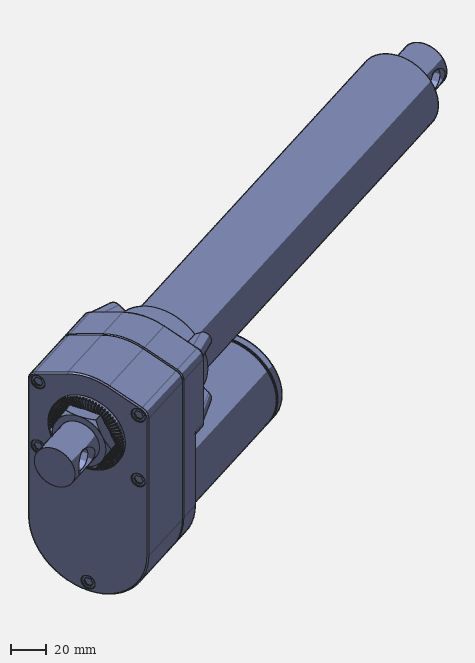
import cadquery as cq
import math


half_width = 38.5
crown_radius = 38.5
crown_half_chord = 13.5
corner_radius = 6.5
motor_axis_z = -74.5
lower_depth = 55.0
upper_depth = 65.5
joint_y = 41.0
joint_chamfer = 0.65
front_chamfer = 1.0
flange_chamfer = 1.5

screw_x = 32.0
screw_z = 22.8
bottom_screw_z = -106.5
screw_recess_diameter = 9.0
screw_recess_depth = 1.5
screw_head_diameter = 8.5
screw_head_height = 1.0
screw_socket_across_corners = 6.0

tube_diameter = 50.5
tube_end_y = 361.0
collar_diameter = 61.5
collar_end_y = 83.8
rib_width = 8.5
rib_reach_base = 40.5
rib_reach_end = 35.2

motor_diameter = 63.0
motor_end_y = 168.5
motor_seam_y = 162.5
motor_seam_width = 1.5
motor_seam_depth = 0.5
end_disc_diameter = 58.5
end_disc_height = 3.0
end_disc_chamfer = 1.0
end_disc_width = 47.2
end_slot_z = -92.5
end_slot_width = 5.0
terminal_boss_diameter = 13.7
terminal_boss_height = 5.5
terminal_boss_z = -57.5

ring_diameter = 48.0
ring_height = 3.0
tooth_count = 72
tooth_groove_depth = 1.5
nut_across_flats = 34.5
nut_height = 7.5
nut_chamfer_angle = 30
front_eye_diameter = 26.0
front_eye_end_y = -38.5
front_hole_y = -25.0

eye_hole_diameter = 13.0
front_mouth_diameter = 19.0
rod_mouth_diameter = 17.0

rod_diameter = 25.0
rod_end_diameter = 28.8
rod_end_y = 391.0
rod_taper_diameter = 28.0
rod_taper_start_y = 364.0
rod_taper_end_y = 366.5
rod_hole_y = 380.0


def cylinder_y(diameter, y_start, y_end, x=0, z=0):
    """A cylinder parallel to Y between two Y positions."""
    return (
        cq.Workplane("XZ", origin=(x, y_start, z))
        .circle(diameter / 2)
        .extrude(y_start - y_end)
    )


def crown_corners():
    """Points of the upper right outline: where the crown meets the slope, and the sharp corner."""
    crown_z = math.sqrt(crown_radius**2 - crown_half_chord**2)
    corner_z = crown_z - (half_width - crown_half_chord) * crown_half_chord / crown_z
    return crown_z, corner_z


def crown_outline():
    """Open outline from the right side over the crowned top to the left side."""
    crown_z, corner_z = crown_corners()
    return (
        cq.Workplane("XZ")
        .moveTo(half_width, 0)
        .lineTo(half_width, corner_z)
        .lineTo(crown_half_chord, crown_z)
        .threePointArc((0, crown_radius), (-crown_half_chord, crown_z))
        .lineTo(-half_width, corner_z)
        .lineTo(-half_width, 0)
    )


def crowned_prism(outline, y_start, y_end):
    """Extrude a closed crowned outline along Y and round the two corners beside the crown."""
    corner_z = crown_corners()[1]
    prism = outline.extrude(y_start - y_end).translate((0, y_start, 0))
    for x in (half_width, -half_width):
        corner = cq.Vector(x, (y_start + y_end) / 2, corner_z)
        prism = prism.edges(cq.selectors.NearestToPointSelector(corner)).fillet(corner_radius)
    return prism


def gearbox_part(y_start, y_end):
    """Length of the gearbox with a crowned top and a semicircular bottom."""
    outline = (
        crown_outline()
        .lineTo(-half_width, motor_axis_z)
        .threePointArc((0, motor_axis_z - half_width), (half_width, motor_axis_z))
        .close()
    )
    return crowned_prism(outline, y_start, y_end)


def gearbox():
    """Cover and rear half, chamfered where they meet so that a fine groove marks the joint."""
    cover = gearbox_part(0, joint_y).faces("<Y").chamfer(front_chamfer)
    cover = cover.faces(">Y").chamfer(joint_chamfer)
    rear = gearbox_part(joint_y, lower_depth).faces("<Y").chamfer(joint_chamfer)
    return cover.union(rear)


def tube_flange():
    """Raised pad behind the gearbox, with the crowned shape both above and below the tube."""
    upper = crowned_prism(crown_outline().close(), lower_depth, upper_depth)
    flange = upper.union(upper.mirror("XY")).clean()
    return flange.faces(">Y").chamfer(flange_chamfer)


def cover_screws(block):
    """Recessed socket-head screws in the front face."""
    places = [(x, z) for x in (-screw_x, screw_x) for z in (-screw_z, screw_z)]
    places.append((0, bottom_screw_z))
    head_y = screw_recess_depth - screw_head_height
    for x, z in places:
        block = block.cut(cylinder_y(screw_recess_diameter, 0, screw_recess_depth, x, z))
        head = cylinder_y(screw_head_diameter, head_y, screw_recess_depth, x, z)
        socket = (
            cq.Workplane("XZ", origin=(x, head_y, z))
            .polygon(6, screw_socket_across_corners)
            .extrude(-screw_head_height)
        )
        block = block.union(head.cut(socket))
    return block


def collar_rib(angle):
    """Radial rib with a round outer end, leaning inward away from the gearbox."""
    length = collar_end_y - upper_depth

    def section(plane, reach):
        half = rib_width / 2
        return (
            plane.moveTo(0, -half)
            .lineTo(reach, -half)
            .threePointArc((reach + half, 0), (reach, half))
            .lineTo(0, half)
            .close()
        )

    base = section(cq.Workplane("XZ", origin=(0, upper_depth, 0)), rib_reach_base)
    rib = section(base.workplane(offset=-length), rib_reach_end).loft(ruled=True)
    return rib.rotate((0, 0, 0), (0, -1, 0), angle)


def tube_collar():
    """Collar around the tube with a rib toward each corner of the flange."""
    collar = cylinder_y(collar_diameter, upper_depth, collar_end_y)
    rib_angle = math.degrees(math.atan2(screw_z, screw_x))
    for angle in (rib_angle, 180 - rib_angle, 180 + rib_angle, -rib_angle):
        collar = collar.union(collar_rib(angle))
    return collar


def motor():
    """Motor can with a seam, an end disc with two flats and a slot, and a round terminal boss."""
    can = cylinder_y(motor_diameter, lower_depth, motor_end_y, z=motor_axis_z)
    seam_end_y = motor_seam_y + motor_seam_width
    seam_floor_diameter = motor_diameter - 2 * motor_seam_depth
    seam = cylinder_y(motor_diameter, motor_seam_y, seam_end_y, z=motor_axis_z)
    seam = seam.cut(cylinder_y(seam_floor_diameter, motor_seam_y, seam_end_y, z=motor_axis_z))
    disc_end_y = motor_end_y + end_disc_height
    disc = cylinder_y(end_disc_diameter, motor_end_y, disc_end_y, z=motor_axis_z)
    disc = disc.faces(">Y").chamfer(end_disc_chamfer)
    flats = cq.Workplane("XY").box(end_disc_width, 2 * disc_end_y, end_disc_diameter)
    disc = disc.intersect(flats.translate((0, 0, motor_axis_z)))
    slot = cq.Workplane("XY").box(
        motor_diameter, end_disc_height, end_slot_width
    ).translate((0, motor_end_y + end_disc_height / 2, end_slot_z))
    terminal = cylinder_y(
        terminal_boss_diameter, motor_end_y, motor_end_y + terminal_boss_height, z=terminal_boss_z)
    return can.cut(seam).union(disc.cut(slot)).union(terminal)


def serrated_ring():
    """Ring on the gearbox face with radial grooves across its front."""
    groove_pitch = math.pi * nut_across_flats / tooth_count
    groove_width = groove_pitch / 2
    groove_length = ring_diameter - nut_across_flats
    grooves = (
        cq.Workplane("XZ", origin=(0, -ring_height, 0))
        .polarArray(ring_diameter / 2, 0, 360, tooth_count)
        .rect(groove_length, groove_width)
        .extrude(-tooth_groove_depth)
    )
    return cylinder_y(ring_diameter, -ring_height, 0).cut(grooves)


def hex_nut():
    """Hexagonal nut with corners toward +X and -X and a turned chamfer on its front."""
    corner_diameter = nut_across_flats / math.cos(math.radians(30))
    front_y = -ring_height - nut_height
    nut = cq.Workplane("XZ", origin=(0, -ring_height, 0)).polygon(6, corner_diameter).extrude(nut_height)
    chamfer_reach = (corner_diameter - nut_across_flats) / 2
    chamfer_height = chamfer_reach * math.tan(math.radians(nut_chamfer_angle))
    turned = (
        cq.Workplane("XY")
        .moveTo(0, -ring_height)
        .lineTo(corner_diameter / 2, -ring_height)
        .lineTo(corner_diameter / 2, front_y + chamfer_height)
        .lineTo(nut_across_flats / 2, front_y)
        .lineTo(0, front_y)
        .close()
        .revolve(360, (0, 0, 0), (0, 1, 0))
    )
    return nut.intersect(turned)


def eye_hole(eye_diameter, mouth_diameter, y):
    """Cross hole along X, countersunk at both mouths."""
    depth = (mouth_diameter - eye_hole_diameter) / 2
    hole = cq.Workplane("YZ").circle(eye_hole_diameter / 2).extrude(eye_diameter, both=True)
    for side in (-1, 1):
        sink = cq.Solid.makeCone(
            eye_hole_diameter / 2, mouth_diameter / 2, depth,
            pnt=cq.Vector(side * (eye_diameter / 2 - depth), 0, 0), dir=cq.Vector(side, 0, 0))
        hole = hole.union(cq.Workplane(sink))
    return hole.translate((0, y, 0))


def front_mount():
    """Serrated ring, nut and drilled eye in front of the gearbox."""
    eye = cylinder_y(front_eye_diameter, front_eye_end_y, 0)
    eye = eye.cut(eye_hole(front_eye_diameter, front_mouth_diameter, front_hole_y))
    return serrated_ring().union(hex_nut()).union(eye)


def actuator_housing():
    """Gearbox, motor, tube and front mount as one body, bored for the rod."""
    housing = cover_screws(gearbox()).union(tube_flange()).union(tube_collar()).union(motor())
    housing = housing.union(cylinder_y(tube_diameter, upper_depth, tube_end_y))
    housing = housing.union(front_mount())
    return housing.cut(cylinder_y(rod_diameter, collar_end_y, tube_end_y))


def extension_rod():
    """Turned rod with a wider drilled end that tapers slightly where it faces the tube."""
    rod = (
        cq.Workplane("XY")
        .moveTo(0, collar_end_y)
        .lineTo(rod_diameter / 2, collar_end_y)
        .lineTo(rod_diameter / 2, rod_taper_start_y)
        .lineTo(rod_taper_diameter / 2, rod_taper_start_y)
        .lineTo(rod_end_diameter / 2, rod_taper_end_y)
        .lineTo(rod_end_diameter / 2, rod_end_y)
        .lineTo(0, rod_end_y)
        .close()
        .revolve(360, (0, 0, 0), (0, 1, 0))
    )
    return rod.cut(eye_hole(rod_end_diameter, rod_mouth_diameter, rod_hole_y))


housing = actuator_housing()
rod = extension_rod()
result = cq.Compound.makeCompound([housing.val(), rod.val()])